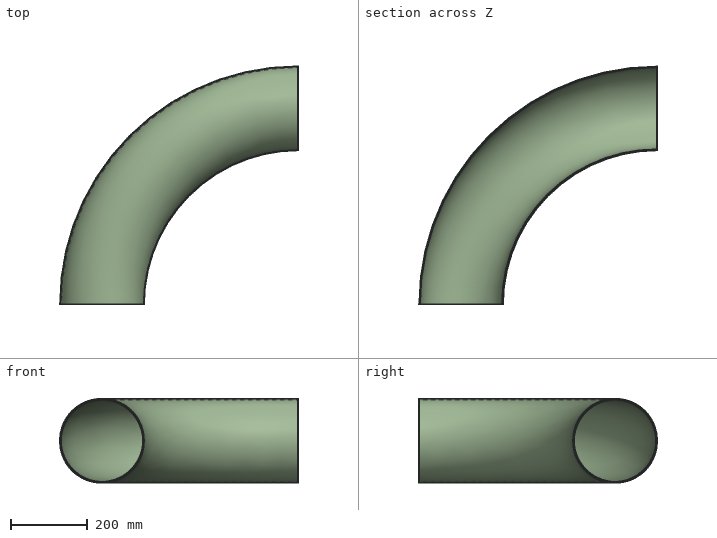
import cadquery as cq

outer_diameter = 219.1
wall_thickness = 3.0
bend_radius = 510.0
bend_angle = 90.0

outer_radius = outer_diameter / 2
inner_radius = outer_radius - wall_thickness


def pipe_bend():
    """Sweep the pipe ring about a Z axis through the origin.

    The ring starts in the XZ plane at -X, with its open end facing -Y,
    and turns clockwise seen from above to end in the YZ plane, facing +X.
    """
    ring = (
        cq.Workplane("XZ")
        .center(-bend_radius, 0)
        .circle(outer_radius)
        .circle(inner_radius)
    )
    bend_axis_start = (bend_radius, 0)
    bend_axis_end = (bend_radius, -1)
    return ring.revolve(bend_angle, bend_axis_start, bend_axis_end)


result = pipe_bend()